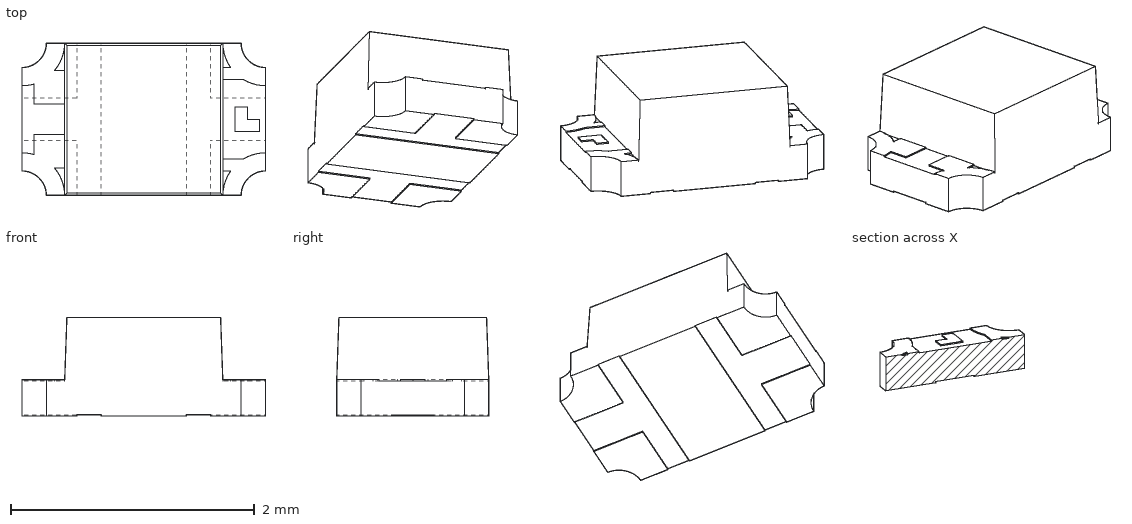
import cadquery as cq

length = 2.0
width = 1.25
height = 0.81

board_height = 0.3
copper = 0.01
core_height = board_height - 2 * copper
core_top = board_height - copper
corner_radius = 0.2
pad_radius = 0.35

lens_length = 1.3
lens_draft = 2.0

left_trace = (0.125, 0.4)
left_trace_end = 0.9
right_trace_width = 0.1
right_trace_outer = width / 2 - corner_radius
right_trace = (right_trace_outer - right_trace_width, right_trace_outer)
right_trace_end = 0.82

mark_size = 0.2
mark_arm = mark_size / 2
mark_center_x = 0.85

corner_pad_inner_x = 0.548
corner_pad_inner_y = 0.175
center_pad_length = 0.7


def slab(x_min, x_max, y_min, y_max, bottom, thickness):
    """Rectangular block given by its limits in plan."""
    return cq.Workplane("XY").box(
        x_max - x_min, y_max - y_min, thickness, centered=False
    ).translate((x_min, y_min, bottom))


def corner_discs(radius, bottom, thickness):
    """Four upright discs centred on the corners of the board."""
    return (
        cq.Workplane("XY", origin=(0, 0, bottom))
        .rect(length, width, forConstruction=True)
        .vertices()
        .circle(radius)
        .extrude(thickness)
    )


def board_core():
    return cq.Workplane("XY", origin=(0, 0, copper)).box(
        length, width, core_height, centered=(True, True, False)
    )


def top_copper():
    layer = corner_discs(pad_radius, core_top, copper)
    for side in (-1, 1):
        for end, trace in ((-left_trace_end, left_trace), (right_trace_end, right_trace)):
            x_min, x_max = sorted((end, 0))
            y_min, y_max = sorted((side * trace[0], side * trace[1]))
            layer = layer.union(slab(x_min, x_max, y_min, y_max, core_top, copper))
    return layer


def polarity_mark():
    """L-shaped copper mark: a square with its outer upper quarter removed."""
    half = mark_size / 2
    x_min = mark_center_x - half
    x_max = mark_center_x + half
    mark = slab(x_min, x_max, -half, half, core_top, copper)
    notch = slab(x_min + mark_arm, x_max, mark_arm - half, half, core_top, copper)
    return mark.cut(notch)


def bottom_copper():
    half_width = width / 2
    pads = slab(-center_pad_length / 2, center_pad_length / 2, -half_width, half_width, 0, copper)
    for side_x in (-1, 1):
        for side_y in (-1, 1):
            x_min, x_max = sorted((side_x * corner_pad_inner_x, side_x * length / 2))
            y_min, y_max = sorted((side_y * corner_pad_inner_y, side_y * half_width))
            pads = pads.union(slab(x_min, x_max, y_min, y_max, 0, copper))
    return pads


def lens():
    return (
        cq.Workplane("XY", origin=(0, 0, core_top))
        .rect(lens_length, width)
        .extrude(height - core_top, taper=lens_draft)
    )


envelope = cq.Workplane("XY").box(length, width, height, centered=(True, True, False))

result = (
    board_core()
    .union(top_copper())
    .union(polarity_mark())
    .union(bottom_copper())
    .union(lens())
    .intersect(envelope)
    .cut(corner_discs(corner_radius, 0, board_height))
)